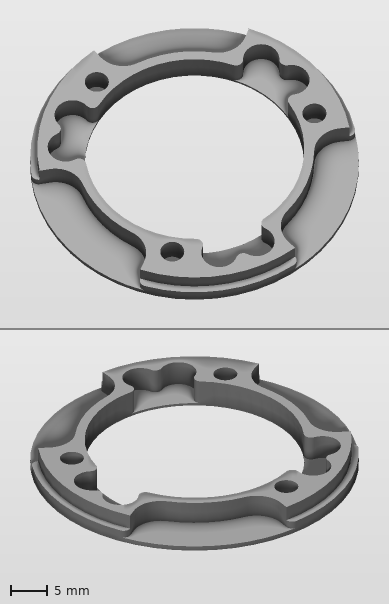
import cadquery as cq
import math

outer_radius = 22.6
upper_radius = 21.6
bore_radius = 15.1
floor_top = 0.7
pocket_floor = 0.35
ledge_top = 1.75
total_height = 3.9
ledge_corner_radius = 1.0
pattern_count = 3
pattern_angle = 360 / pattern_count

recess_axis_angle = -100.2
recess_inner_radius = 16.45
recess_corner_radius = 4.0
recess_corner_angle = 18.9
recess_mouth_angle = 30.0
recess_wall_length = 11.3

pocket_axis_angle = 90.0
lobe_radius = 2.5
lobe_offset = 2.7
lobe_distance = 17.5
pocket_blend_radius = 1.0

hole_diameter = 3.3
hole_distance = 17.55
hole_axis_angle = 60.0


def polar(radius, degrees):
    angle = math.radians(degrees)
    return (radius * math.cos(angle), radius * math.sin(angle))


def toward(start, direction, length):
    return (start[0] + length * direction[0], start[1] + length * direction[1])


def mirrored(point):
    return (point[0], -point[1])


def ring(radius, bottom, top):
    """Flat ring around the common bore."""
    return cq.Workplane("XY").workplane(offset=bottom).circle(radius).circle(bore_radius).extrude(top - bottom)


def repeated(body, first_angle):
    """Evenly spaced copies of a body that lies on the +X axis."""
    copies = cq.Workplane("XY")
    for index in range(pattern_count):
        angle = first_angle + index * pattern_angle
        copies = copies.add(body.rotate((0, 0, 0), (0, 0, 1), angle))
    return copies.combine()


def recess():
    """Rim recess with rounded inner corners, symmetric about the +X axis."""
    center = polar(recess_inner_radius + recess_corner_radius, recess_corner_angle)
    mouth = polar(upper_radius, recess_mouth_angle)

    gap_x = mouth[0] - center[0]
    gap_y = mouth[1] - center[1]
    gap = math.hypot(gap_x, gap_y)
    mouth_direction = math.degrees(math.atan2(gap_y, gap_x))
    tangent_angle = mouth_direction + math.degrees(math.acos(recess_corner_radius / gap))
    wall_start = toward(center, polar(1, tangent_angle), recess_corner_radius)
    wall_direction = polar(1, tangent_angle - 90)
    wall_end = toward(wall_start, wall_direction, recess_wall_length)

    arc_start = polar(recess_inner_radius, recess_corner_angle)
    arc_middle_angle = (tangent_angle + recess_corner_angle + 180) / 2
    arc_middle = toward(center, polar(1, arc_middle_angle), recess_corner_radius)
    return (
        cq.Workplane("XY").workplane(offset=floor_top)
        .moveTo(*mirrored(arc_start))
        .threePointArc((recess_inner_radius, 0), arc_start)
        .threePointArc(arc_middle, wall_start)
        .lineTo(*wall_end)
        .lineTo(*mirrored(wall_end))
        .lineTo(*mirrored(wall_start))
        .threePointArc(mirrored(arc_middle), mirrored(arc_start))
        .close()
        .extrude(total_height - floor_top)
    )


def lobed_pocket():
    """Two lobes joined by a convex notch, with matching convex lips at the bore."""
    center_gap = lobe_radius + pocket_blend_radius
    blend_rise = math.sqrt(center_gap**2 - lobe_offset**2)
    tangent_x = lobe_radius / center_gap * blend_rise
    tangent_y = lobe_radius / center_gap * lobe_offset

    lobe_center = (lobe_distance, lobe_offset)
    lobe_reach = math.hypot(*lobe_center)
    lip_reach = bore_radius + pocket_blend_radius
    lip_cosine = (lobe_reach**2 + lip_reach**2 - center_gap**2) / (2 * lobe_reach * lip_reach)
    lip_angle = math.degrees(math.atan2(lobe_offset, lobe_distance) + math.acos(lip_cosine))
    lip_center = polar(lip_reach, lip_angle)
    lip_end = polar(bore_radius, lip_angle)
    lobe_direction = math.degrees(math.atan2(lip_center[1] - lobe_offset, lip_center[0] - lobe_distance))
    lip_start = toward(lobe_center, polar(1, lobe_direction), lobe_radius)
    lip_middle_angle = (lobe_direction - 180 + lip_angle - 180) / 2
    lip_middle = toward(lip_center, polar(1, lip_middle_angle), pocket_blend_radius)

    notch_end = (lobe_distance + tangent_x, lobe_offset - tangent_y)
    notch_tip = (lobe_distance + blend_rise - pocket_blend_radius, 0)
    lobe_side = toward(lobe_center, polar(1, 45), lobe_radius)
    return (
        cq.Workplane("XY").workplane(offset=pocket_floor)
        .moveTo(*mirrored(notch_end))
        .threePointArc(notch_tip, notch_end)
        .threePointArc(lobe_side, lip_start)
        .threePointArc(lip_middle, lip_end)
        .lineTo(*mirrored(lip_end))
        .threePointArc(mirrored(lip_middle), mirrored(lip_start))
        .threePointArc(mirrored(lobe_side), mirrored(notch_end))
        .close()
        .extrude(total_height - pocket_floor)
    )


def blind_hole():
    return (
        cq.Workplane("XY").workplane(offset=pocket_floor)
        .center(hole_distance, 0)
        .circle(hole_diameter / 2)
        .extrude(total_height - pocket_floor)
    )


recesses = repeated(recess(), recess_axis_angle)

floor = ring(outer_radius, 0, floor_top)

ledge = ring(outer_radius, floor_top, ledge_top).cut(recesses)
rim_edges = ledge.edges("|Z").filter(
    lambda edge: math.hypot(edge.Center().x, edge.Center().y) > upper_radius
)
ledge = rim_edges.fillet(ledge_corner_radius)

upper_tier = ring(upper_radius, ledge_top, total_height).cut(recesses)

result = floor.union(ledge).union(upper_tier)
result = result.cut(repeated(lobed_pocket(), pocket_axis_angle))
result = result.cut(repeated(blind_hole(), hole_axis_angle))